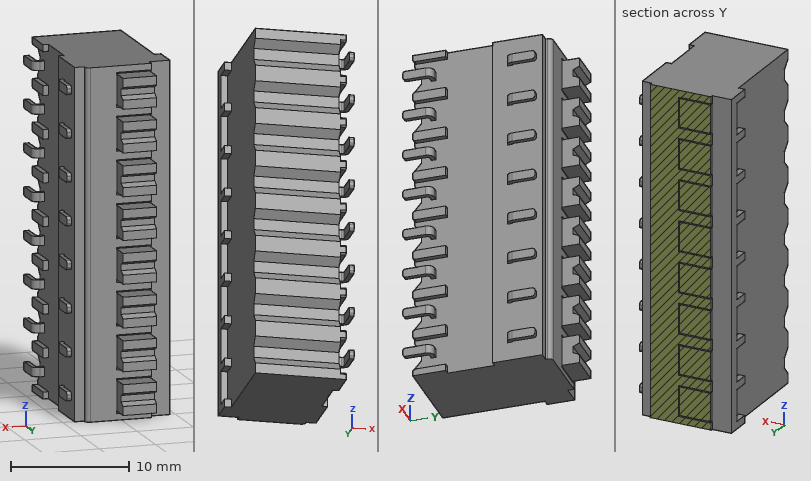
import cadquery as cq

height = 30.87
pole_count = 8
end_margin = 2.1
pitch = (height - 2 * end_margin) / (pole_count - 1)
pole_axes = [end_margin + i * pitch for i in range(pole_count)]
pole_borders = [z + pitch / 2 for z in pole_axes[:-1]]

width = 9.0
depth = 14.4
front_y = 0.7
foot_x = 8.5
foot_height = 0.5
base_x = foot_x - foot_height
recess_front_y = 3.67
recess_rear_y = 7.87
shoulder_y = 12.32
rear_step = 0.55
rear_y = shoulder_y + rear_step
rear_block_x = (1.82, 7.62)
rear_round = 0.37

rail_thickness = 0.6
rail_depth = 1.02
leg_length = 2.47
leg_width = 0.7

groove_depth = 0.62
groove_mouth = 2.4
groove_floor = 1.0

foot_slot_width = 2.95
foot_slot_chamfer = 0.15

button_x = (1.85, 4.85)
button_height = 2.7
button_root = 0.3
button_clearance = 0.05
button_notch_mouth = 1.1
button_notch_floor = 0.55
button_notch_depth = 0.55
slot_chamfer = 0.12

pin_thickness = 0.4
pin_width = 0.8
pin_length = 2.62
pin_bend_radius = 0.2
pin_tip_round = 0.25
pin_root = 0.3
rear_pin_tip_y = 11.82


def block(x, y, z):
    """Box spanning the given (low, high) ranges."""
    size = [high - low for low, high in (x, y, z)]
    return cq.Workplane("XY").box(*size, centered=False).translate((x[0], y[0], z[0]))


def around(center, size):
    return (center - size / 2, center + size / 2)


def side_prism(points, x):
    """Extrude a (Y, Z) outline along X over the given range."""
    return cq.Workplane("YZ", origin=(x[0], 0, 0)).polyline(points).close().extrude(x[1] - x[0])


def tapered_cut(y_mouth, y_floor, z, mouth, floor, x):
    """Trapezoidal channel along X, centred on height z."""
    points = [
        (y_mouth, z - mouth / 2),
        (y_mouth, z + mouth / 2),
        (y_floor, z + floor / 2),
        (y_floor, z - floor / 2),
    ]
    return side_prism(points, x)


def housing():
    return (
        cq.Workplane("XY")
        .moveTo(rail_thickness, front_y)
        .lineTo(foot_x, front_y)
        .lineTo(foot_x, recess_front_y)
        .lineTo(base_x, recess_front_y)
        .lineTo(base_x, recess_rear_y)
        .lineTo(foot_x, recess_rear_y)
        .lineTo(foot_x, shoulder_y)
        .lineTo(rear_block_x[1], shoulder_y)
        .lineTo(rear_block_x[1], rear_y - rear_round)
        .radiusArc((rear_block_x[1] - rear_round, rear_y), -rear_round)
        .lineTo(rear_block_x[0], rear_y)
        .lineTo(rear_block_x[0], shoulder_y)
        .lineTo(rail_thickness, shoulder_y)
        .close()
        .extrude(height)
    )


def rail():
    x = (0, rail_thickness)
    body = block(x, (shoulder_y - rail_depth, shoulder_y), (0, height))
    leg_y = (shoulder_y - leg_length, shoulder_y)
    leg_centers = [leg_width / 2, *pole_borders, height - leg_width / 2]
    for z in leg_centers:
        body = body.union(block(x, leg_y, around(z, leg_width)))
    return body


def front_groove(z):
    return tapered_cut(front_y, front_y + groove_depth, z, groove_mouth, groove_floor, (0, foot_x))


def foot_slot(z):
    x = (base_x, foot_x)
    slot = block(x, (front_y, recess_front_y), around(z, foot_slot_width))
    mouth_width = foot_slot_width + 2 * foot_slot_chamfer
    mouth_y = front_y + foot_slot_chamfer
    return slot.union(tapered_cut(front_y, mouth_y, z, mouth_width, foot_slot_width, x))


def button_slot(z):
    x = (rear_block_x[0], button_x[1] + button_clearance)
    slot_height = button_height + 2 * button_clearance
    slot = block(x, (shoulder_y, rear_y), around(z, slot_height))
    mouth_height = slot_height + 2 * slot_chamfer
    return slot.union(tapered_cut(rear_y, rear_y - slot_chamfer, z, mouth_height, slot_height, x))


def button(z):
    body = block(button_x, (shoulder_y - button_root, depth), around(z, button_height))
    notch_y = depth - button_notch_depth
    return body.cut(tapered_cut(depth, notch_y, z, button_notch_mouth, button_notch_floor, button_x))


def pin(z, tip_y, direction):
    """Flat L-shaped pin; direction is +1 or -1, the way its tip points along Y."""
    heel_y = tip_y - direction * pin_length
    inner_x = width - pin_thickness
    root_x = base_x - pin_root
    profile = (
        cq.Workplane("XY")
        .moveTo(root_x, heel_y)
        .lineTo(width, heel_y)
        .lineTo(width, tip_y)
        .lineTo(inner_x, tip_y)
        .lineTo(inner_x, heel_y + direction * pin_thickness)
        .lineTo(root_x, heel_y + direction * pin_thickness)
        .close()
        .extrude(pin_width)
    )
    bent = (
        profile
        .edges(cq.selectors.NearestToPointSelector((width, heel_y, pin_width / 2)))
        .fillet(pin_bend_radius + pin_thickness)
        .edges(cq.selectors.NearestToPointSelector(
            (inner_x, heel_y + direction * pin_thickness, pin_width / 2)))
        .fillet(pin_bend_radius)
    )
    tip_face = ">Y" if direction > 0 else "<Y"
    return bent.faces(tip_face).edges("|X").fillet(pin_tip_round).translate((0, 0, z - pin_width / 2))


result = housing().union(rail())
for z in pole_axes:
    result = result.cut(front_groove(z)).cut(foot_slot(z)).cut(button_slot(z))
for z in pole_axes:
    result = result.union(button(z))
    result = result.union(pin(z, 0, -1))
    result = result.union(pin(z, rear_pin_tip_y, 1))